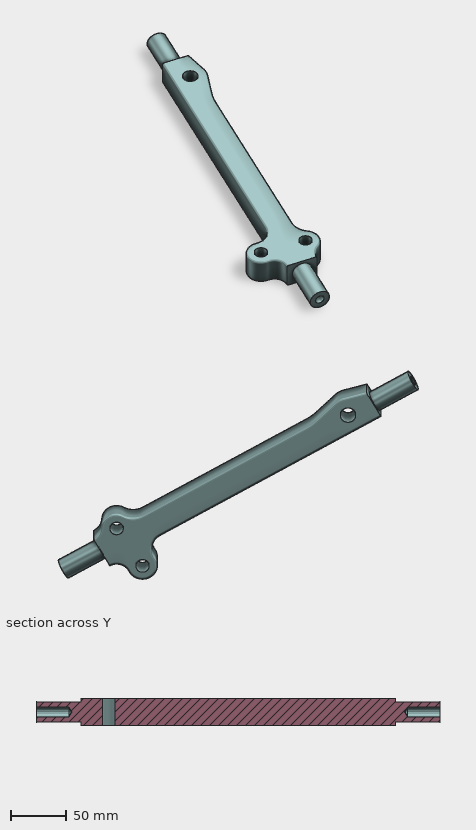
import cadquery as cq
import math

total_length = 365.0
stub_length = 40.0
stub_diameter = 19.0
thickness = 25.0
edge_radius = 2.0

bar_left = stub_length
bar_right = total_length - stub_length
bar_top = 12.5
bar_bottom = -12.0
right_end_half_width = 15.0

hump_x, hump_y = 65.5, 4.5
hump_radius = 16.0
hump_hole_diameter = 14.0
hump_slope = math.radians(14.5)
hump_blend_radius = 47.5

upper_lobe = (301.5, 14.0)
lower_lobe = (299.3, -29.2)
upper_lobe_radius = 13.5
lower_lobe_radius = 13.5
lobe_hole_diameter = 12.0
upper_blend_start_x = 275.0
lower_left_blend_radius = 14.5

end_hole_diameter = 8.5
end_hole_depth = 29.2
drill_point_angle = 118.0


def polar(center, radius, angle):
    """Point on a circle at an angle in radians."""
    return (center[0] + radius * math.cos(angle), center[1] + radius * math.sin(angle))


def upper_lobe_blend(start):
    """Concave arc that leaves start along X and meets the upper lobe tangentially.

    Returns the arc's middle point and its meeting point on the lobe.
    """
    dx = start[0] - upper_lobe[0]
    dy = start[1] - upper_lobe[1]
    radius = (dx**2 + dy**2 - upper_lobe_radius**2) / (2 * (upper_lobe_radius - dy))
    center = (start[0], start[1] + radius)
    to_center = math.atan2(center[1] - upper_lobe[1], center[0] - upper_lobe[0])
    meeting = polar(upper_lobe, upper_lobe_radius, to_center)
    mid_x = (start[0] + meeting[0]) / 2 - center[0]
    mid_y = (start[1] + meeting[1]) / 2 - center[1]
    return polar(center, radius, math.atan2(mid_y, mid_x)), meeting


def make_bar():
    up = math.pi / 2

    lobe_left = lower_lobe[0] - lower_lobe_radius
    lobe_right = lower_lobe[0] + lower_lobe_radius
    left_radius = lower_left_blend_radius
    left_center = (lobe_left - left_radius, bar_bottom - left_radius)
    right_radius = bar_right - lobe_right
    right_center = (bar_right, -right_end_half_width - right_radius)

    upper_right = (bar_right, right_end_half_width)
    upper_left = (upper_blend_start_x, bar_top)
    upper_right_mid, upper_lobe_right = upper_lobe_blend(upper_right)
    upper_left_mid, upper_lobe_left = upper_lobe_blend(upper_left)

    hump = (hump_x, hump_y)
    crown_right = polar(hump, hump_radius, up - hump_slope)
    crown_left = polar(hump, hump_radius, up + hump_slope)
    flank_bottom_y = bar_top + hump_blend_radius * (1 - math.cos(hump_slope))
    flank_bottom_x = crown_right[0] + (crown_right[1] - flank_bottom_y) / math.tan(hump_slope)
    blend_end_x = flank_bottom_x + hump_blend_radius * math.sin(hump_slope)
    blend_center = (blend_end_x, bar_top + hump_blend_radius)
    left_end_top = crown_left[1] - (crown_left[0] - bar_left) * math.tan(hump_slope)

    bar = (
        cq.Workplane("XY")
        .workplane(offset=-thickness / 2)
        .moveTo(bar_left, bar_bottom)
        .lineTo(left_center[0], bar_bottom)
        .threePointArc(polar(left_center, left_radius, up / 2), (lobe_left, left_center[1]))
        .lineTo(lobe_left, lower_lobe[1])
        .threePointArc(polar(lower_lobe, lower_lobe_radius, -up), (lobe_right, lower_lobe[1]))
        .lineTo(lobe_right, right_center[1])
        .threePointArc(polar(right_center, right_radius, up * 1.5), (bar_right, -right_end_half_width))
        .lineTo(*upper_right)
        .threePointArc(upper_right_mid, upper_lobe_right)
        .threePointArc(polar(upper_lobe, upper_lobe_radius, up), upper_lobe_left)
        .threePointArc(upper_left_mid, upper_left)
        .lineTo(blend_end_x, bar_top)
        .threePointArc(
            polar(blend_center, hump_blend_radius, -up - hump_slope / 2),
            (flank_bottom_x, flank_bottom_y),
        )
        .lineTo(*crown_right)
        .threePointArc(polar(hump, hump_radius, up), crown_left)
        .lineTo(bar_left, left_end_top)
        .close()
        .extrude(thickness)
    )
    return bar.faces("<Z or >Z").edges("not |Y").fillet(edge_radius)


def through_hole(center, diameter):
    return cq.Workplane("XY").center(*center).circle(diameter / 2).extrude(thickness, both=True)


def make_end_hole():
    """Drill shape entering the left stub, revolved about the X axis."""
    radius = end_hole_diameter / 2
    point_length = radius / math.tan(math.radians(drill_point_angle / 2))
    return (
        cq.Workplane("XY")
        .polyline([(0, 0), (0, radius), (end_hole_depth, radius), (end_hole_depth + point_length, 0)])
        .close()
        .revolve(360, (0, 0, 0), (1, 0, 0))
    )


shaft = cq.Workplane("YZ").circle(stub_diameter / 2).extrude(total_length)
result = make_bar().union(shaft)

result = result.cut(through_hole((hump_x, hump_y), hump_hole_diameter))
for lobe_center in (upper_lobe, lower_lobe):
    result = result.cut(through_hole(lobe_center, lobe_hole_diameter))

left_end_hole = make_end_hole()
right_end_hole = left_end_hole.mirror("YZ", (total_length / 2, 0, 0))
result = result.cut(left_end_hole).cut(right_end_hole)